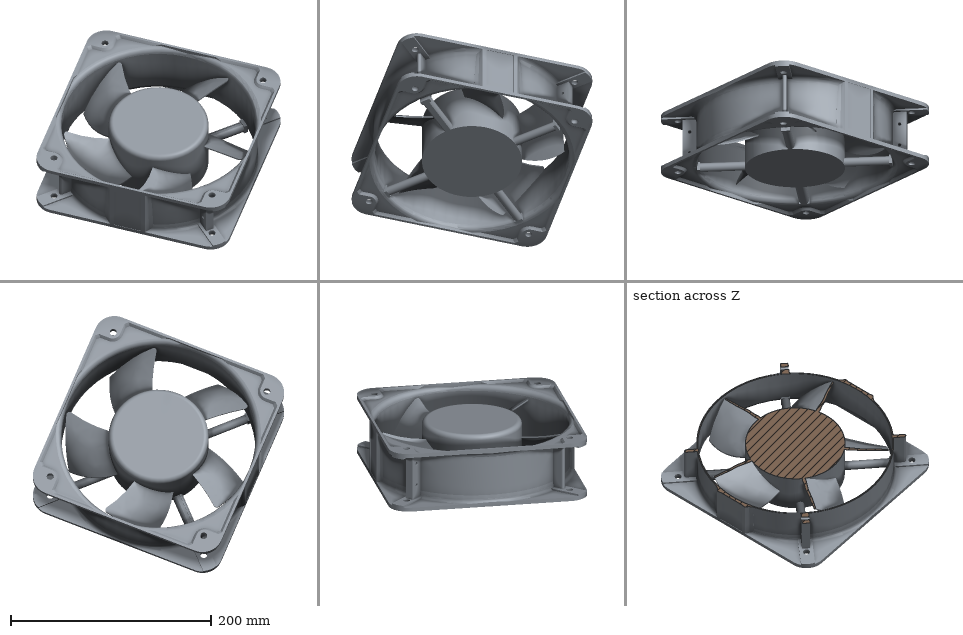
import cadquery as cq
import math

side = 202.0
height = 61.0
half_side = side / 2
top_z = height / 2
bottom_z = -top_z

corner_radius = 20.2
flange_thickness = 4.0
mount_offset = 83.0
mount_diameter = 6.9

recess_depth = 2.5
recess_half = 98.5
recess_slope = 2.5
notch_half = 76.0
notch_radius = 8.5
recess_corner = 3.0

bore_radius = 97.2
duct_radius = 98.8
lip_radius = 5.5
top_blend = 5.0
bottom_blend = 3.6
bottom_band_top = 11.5
bottom_band_bulge = 0.6

boss_half_width = 18.2
boss_depth = 5.3
boss_flank_depth = 3.2
boss_flank_top = 2.2
boss_flank_bottom = 3.6
boss_flare_top = 5.0
boss_flare_bottom = 7.7
panel_half_width = 14.3
panel_depth = 0.5

pad_height = 1.8
pad_width = 14.1
pad_inner = 98.0
thick_rib = 8.0
thick_rib_end = 112.5
thin_rib = 4.2
thin_rib_end = 111.3
rib_hole_diameter = 3.5
rib_hole_reach = 105.5
rib_hole_z = 11.3

hub_radius = 100.0 / 2
hub_top = 26.9
hub_round = 4.8
strut_diameter = 8.9
cable_strut_diameter = 10.5
cable_groove_width = 3.6
cable_groove_depth = 1.2
strut_z = bottom_z + strut_diameter / 2
strut_foot_reach = 95.0
cable_foot_reach = 93.5

blade_count = 5
blade_thickness = 1.6
blade_tip_round = 3.2
blade_root_x = 36.4
blade_end_x = 97.0
blade_center_y = 6.0
blade_half_chord = 34.3
blade_camber = 9.0
blade_root_z = 8.5
blade_end_z = 4.2
blade_root_slope = 0.46
blade_end_slope = 0.94

diagonals = (45, 135, 225, 315)


def square_plate(z, thickness):
    """Full-size square with rounded corners, from z upward."""
    plate = cq.Workplane("XY").workplane(offset=z).rect(side, side).extrude(thickness)
    return plate.edges("|Z").fillet(corner_radius)


def recess_outline(plane, inset):
    """Square outline, stepped in around each mounting hole."""
    edge = recess_half - inset
    notch = notch_half - inset
    radius = notch_radius + inset
    tangent = notch + radius
    mid = tangent - radius * math.sqrt(0.5)
    outline = plane.moveTo(edge, recess_corner - notch)
    for turn in range(4):
        corner = [
            (edge, notch - recess_corner),
            (edge - recess_corner, notch),
            (tangent, notch),
            (mid, mid),
            (notch, tangent),
            (notch, edge - recess_corner),
            (notch - recess_corner, edge),
        ]
        angle = math.radians(90 * turn)
        c, s = math.cos(angle), math.sin(angle)
        p = [(x * c - y * s, x * s + y * c) for x, y in corner]
        outline = outline.lineTo(*p[0]).lineTo(*p[1]).lineTo(*p[2])
        outline = outline.threePointArc(p[3], p[4]).lineTo(*p[5]).lineTo(*p[6])
    return outline.close()


def top_recess():
    """Recess with sloping walls in the top face."""
    floor = recess_outline(cq.Workplane("XY").workplane(offset=top_z - recess_depth), recess_slope)
    return recess_outline(floor.workplane(offset=recess_depth), 0).loft(ruled=True)


def top_mouth():
    """Rounded mouth of the bore, kept clear of the rim around the recess."""
    floor_z = top_z - recess_depth
    start_z = floor_z - lip_radius
    outer = bore_radius + lip_radius
    bend = lip_radius * (1 - math.sqrt(0.5))
    mouth = (
        cq.Workplane("XZ")
        .moveTo(0, start_z)
        .lineTo(bore_radius, start_z)
        .threePointArc((bore_radius + bend, floor_z - bend), (outer, floor_z))
        .lineTo(outer, top_z)
        .lineTo(0, top_z)
        .close()
        .revolve(360, (0, 0, 0), (0, 1, 0))
    )
    return mouth.intersect(cq.Workplane("XY").rect(2 * recess_half, 2 * recess_half).extrude(top_z))


def duct():
    """Tube with blends into both flanges, trimmed to the square outline."""
    low = bottom_z + flange_thickness
    high = top_z - flange_thickness
    band_radius = duct_radius + bottom_band_bulge
    low_outer = band_radius + bottom_blend
    high_outer = duct_radius + top_blend
    low_bend = bottom_blend * (1 - math.sqrt(0.5))
    high_bend = top_blend * (1 - math.sqrt(0.5))
    tube = (
        cq.Workplane("XZ")
        .moveTo(0, bottom_z)
        .lineTo(low_outer, bottom_z)
        .lineTo(low_outer, low)
        .threePointArc((band_radius + low_bend, low + low_bend), (band_radius, low + bottom_blend))
        .lineTo(duct_radius, bottom_z + bottom_band_top)
        .lineTo(duct_radius, high - top_blend)
        .threePointArc((duct_radius + high_bend, high - high_bend), (high_outer, high))
        .lineTo(high_outer, top_z)
        .lineTo(0, top_z)
        .close()
        .revolve(360, (0, 0, 0), (0, 1, 0))
    )
    return tube.intersect(square_plate(bottom_z, height))


def boss_outline(plane, flank, flare):
    inner = half_side - boss_depth
    right = [
        (boss_half_width, -half_side),
        (boss_half_width + flank, boss_flank_depth - half_side),
        (boss_half_width + flare, -inner),
        (boss_half_width + flare, boss_depth - inner),
    ]
    left = [(-x, y) for x, y in reversed(right)]
    return plane.polyline(right + left).close()


def side_boss():
    """Boss on the -Y side whose flanks flare out toward the duct."""
    lower = cq.Workplane("XY").workplane(offset=bottom_z)
    lower = boss_outline(lower, boss_flank_bottom, boss_flare_bottom)
    upper = boss_outline(lower.workplane(offset=height), boss_flank_top, boss_flare_top)
    return upper.loft(ruled=True)


def side_panel():
    """Shallow panel sunk into the -Y boss."""
    panel_height = height - 2 * flange_thickness
    panel = cq.Workplane("XY").box(2 * panel_half_width, 2 * panel_depth, panel_height)
    return panel.translate((0, -half_side, 0))


def radial_bar(inner, outer, width, low, high):
    """Straight bar along +X."""
    bar = cq.Workplane("XY").box(outer - inner, width, high - low, centered=(False, True, False))
    return bar.translate((inner, 0, low))


def turned(body, angle):
    return body.rotate((0, 0, 0), (0, 0, 1), angle)


def thick_diagonal_rib():
    """Square-ended rib with two cross holes."""
    rib = radial_bar(pad_inner, thick_rib_end, thick_rib, bottom_z, top_z - flange_thickness)
    holes = (
        cq.Workplane("XZ")
        .pushPoints([(rib_hole_reach, rib_hole_z), (rib_hole_reach, -rib_hole_z)])
        .circle(rib_hole_diameter / 2)
        .extrude(thick_rib, both=True)
    )
    return rib.cut(holes)


def thin_diagonal_rib():
    """Rib with a round outer end."""
    round_center = thin_rib_end - thin_rib / 2
    rib = radial_bar(pad_inner, round_center, thin_rib, bottom_z, top_z - flange_thickness)
    end = cq.Workplane("XY").workplane(offset=bottom_z).center(round_center, 0)
    return rib.union(end.circle(thin_rib / 2).extrude(height - flange_thickness))


def corner_pads():
    """Thicker strips on the inner faces of both flanges, along one diagonal."""
    thickness = flange_thickness + pad_height
    low = radial_bar(pad_inner, side, pad_width, bottom_z, bottom_z + thickness)
    high = radial_bar(pad_inner, side, pad_width, top_z - thickness, top_z)
    return low.union(high)


def frame():
    body = square_plate(bottom_z, flange_thickness)
    body = body.union(square_plate(top_z - flange_thickness, flange_thickness))
    body = body.union(duct())
    for angle in (0, 180):
        body = body.union(turned(side_boss(), angle))
    outline = square_plate(bottom_z, height)
    for angle in diagonals:
        body = body.union(turned(corner_pads(), angle).intersect(outline))
    for angle in (45, 225):
        body = body.union(turned(thin_diagonal_rib(), angle))
    for angle in (135, 315):
        body = body.union(turned(thick_diagonal_rib(), angle))
    for angle in (0, 180):
        body = body.cut(turned(side_panel(), angle))
    for opening in (top_recess(), top_mouth()):
        body = body.cut(opening).cut(opening.mirror("XY"))
    base = cq.Workplane("XY").workplane(offset=bottom_z)
    body = body.cut(base.circle(bore_radius).extrude(height))
    mounts = (
        base
        .rect(2 * mount_offset, 2 * mount_offset, forConstruction=True)
        .vertices()
        .circle(mount_diameter / 2)
    )
    return body.cut(mounts.extrude(height))


def hub():
    body = cq.Workplane("XY").workplane(offset=bottom_z).circle(hub_radius)
    return body.extrude(hub_top - bottom_z).faces(">Z").edges().fillet(hub_round)


def strut(diameter, foot_reach):
    """Round bar along +X, flat at the bottom face, with a square foot at the duct."""
    middle = (bore_radius + duct_radius) / 2
    bar = cq.Workplane("YZ").center(0, strut_z).circle(diameter / 2).extrude(middle)
    bar = bar.intersect(radial_bar(0, side, side, bottom_z, top_z))
    return bar.union(radial_bar(foot_reach, middle, diameter, bottom_z, strut_z + diameter / 2))


def cable_strut():
    """Wider strut with a groove along its top."""
    groove_z = strut_z + cable_strut_diameter / 2 - cable_groove_depth
    groove = radial_bar(0, cable_foot_reach, cable_groove_width, groove_z, top_z)
    return strut(cable_strut_diameter, cable_foot_reach).cut(groove)


def blade_section(x, z, slope):
    """Thin arched strip that falls toward +Y."""
    near = (blade_center_y - blade_half_chord, z + slope * blade_half_chord - blade_camber)
    far = (blade_center_y + blade_half_chord, z - slope * blade_half_chord - blade_camber)
    top = [near, (blade_center_y, z), far]
    below = [(y, level - blade_thickness) for y, level in top]
    strip = cq.Workplane("YZ", origin=(x, 0, 0)).moveTo(*top[0]).threePointArc(top[1], top[2])
    return strip.lineTo(*below[2]).threePointArc(below[1], below[0]).close().wires().val()


def blade():
    """Twisted sheet trimmed to the blade's plan outline."""
    root = blade_section(blade_root_x, blade_root_z, blade_root_slope)
    end = blade_section(blade_end_x, blade_end_z, blade_end_slope)
    sheet = cq.Workplane(cq.Solid.makeLoft([root, end], True))
    outline = (
        cq.Workplane("XY")
        .workplane(offset=bottom_z)
        .moveTo(38.4, 32.0)
        .threePointArc((62.0, 33.7), (87.7, 28.9))
        .threePointArc((93.0, 5.0), (93.3, -21.8))
        .threePointArc((70.7, -11.7), (44.5, -4.8))
        .close()
        .extrude(height)
    )
    outline = outline.edges("|Z and (>X or >Y or <Y)").edges(">X").fillet(blade_tip_round)
    return sheet.intersect(outline)


result = frame().union(hub())
for angle in diagonals[1:]:
    result = result.union(turned(strut(strut_diameter, strut_foot_reach), angle))
result = result.union(turned(cable_strut(), diagonals[0]))
for index in range(blade_count):
    result = result.union(turned(blade(), index * 360 / blade_count))